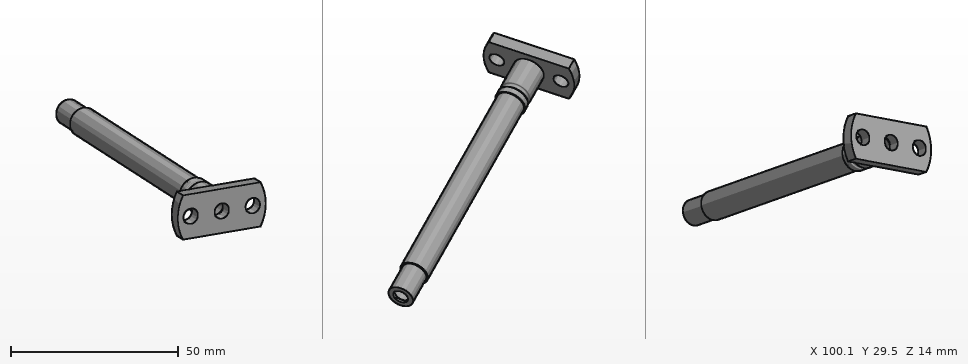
import cadquery as cq

length = 100.1

flange_diameter = 29.5
flange_height = 14.0
flange_thickness = 4.0
flange_hole_diameter = 4.8
flange_hole_offset = 10.4

tip_diameter = 8.0
tip_length = 10.0
tube_diameter = 9.0
collar_diameter = 9.8
collar_start = 82.1

groove_diameter = 8.6
groove_start = 84.2
groove_width = 2.2

mouth_diameter = 4.8
mouth_length = 1.0
passage_diameter = 5.5

flange_start = length - flange_thickness
groove_end = groove_start + groove_width
groove_rounding = (collar_diameter - groove_diameter) / 4


def cylinder(diameter, start, end, y=0.0):
    """Solid cylinder along X between two stations."""
    return cq.Workplane("YZ", origin=(start, y, 0)).circle(diameter / 2).extrude(end - start)


def shaft():
    """Tip, tube and grooved collar as one revolved profile."""
    tip_radius = tip_diameter / 2
    tube_radius = tube_diameter / 2
    collar_radius = collar_diameter / 2
    groove_radius = groove_diameter / 2
    middle_radius = (collar_radius + groove_radius) / 2
    first_wall = groove_start + groove_rounding
    last_wall = groove_end - groove_rounding
    return (
        cq.Workplane("XY")
        .lineTo(0, tip_radius)
        .lineTo(tip_length, tip_radius)
        .lineTo(tip_length, tube_radius)
        .lineTo(collar_start, tube_radius)
        .lineTo(collar_start, collar_radius)
        .lineTo(groove_start, collar_radius)
        .radiusArc((first_wall, middle_radius), groove_rounding)
        .radiusArc((first_wall + groove_rounding, groove_radius), -groove_rounding)
        .lineTo(last_wall - groove_rounding, groove_radius)
        .radiusArc((last_wall, middle_radius), -groove_rounding)
        .radiusArc((groove_end, collar_radius), groove_rounding)
        .lineTo(length, collar_radius)
        .lineTo(length, 0)
        .close()
        .revolve(360, (0, 0, 0), (1, 0, 0))
    )


def flange():
    """Round-ended plate with a fixing hole on each side of the shaft."""
    flats = cq.Workplane("XY").box(2 * length, flange_diameter, flange_height)
    plate = cylinder(flange_diameter, flange_start, length).intersect(flats)
    for side in (-1, 1):
        hole = cylinder(flange_hole_diameter, flange_start, length, side * flange_hole_offset)
        plate = plate.cut(hole)
    return plate


def bore():
    """Through bore, widened between the mouth and the flange."""
    through = cylinder(mouth_diameter, 0, length)
    passage = cylinder(passage_diameter, mouth_length, flange_start)
    return through.union(passage)


result = shaft().union(flange()).cut(bore())